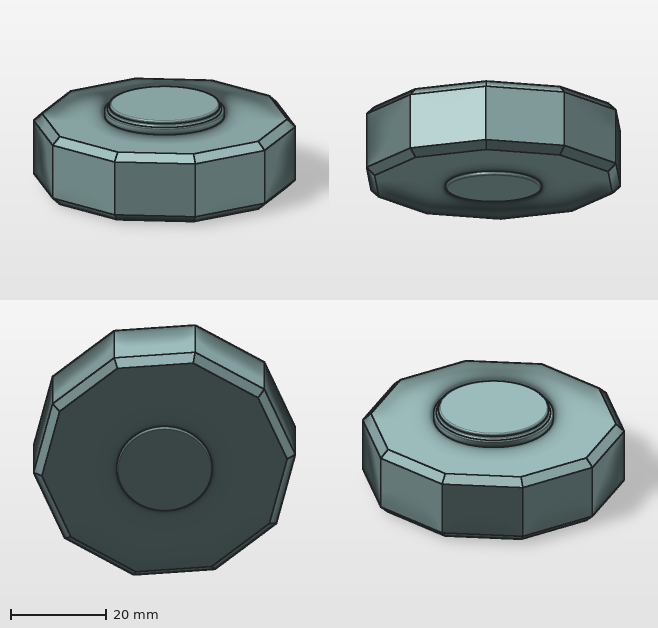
import cadquery as cq
import math

SIDES = 10
CORNER_TURN = 90
CORNER_DIAMETER = 55.2
HOUSING_HEIGHT = 15.0
HOUSING_CHAMFER = 1.65

COLLAR_RADIUS = 12.6
COLLAR_HEIGHT = 1.5
COLLAR_ROUNDING = 0.15

SEAT_RADIUS = 12.05
RIM_RADIUS = 11.6
RIM_ROUNDING = 0.35
RIM_BAND = 0.35
TOP_CAP_HEIGHT = 2.8

BOTTOM_CAP_RADIUS = 10.05
BOTTOM_CAP_ROUNDING = 0.3

OVERALL_HEIGHT = 18.7
BOTTOM_CAP_HEIGHT = OVERALL_HEIGHT - HOUSING_HEIGHT - TOP_CAP_HEIGHT


def make_housing():
    """Decagonal prism from Z = 0, chamfered all round its top and bottom."""
    return (
        cq.Workplane("XY")
        .polygon(SIDES, CORNER_DIAMETER)
        .extrude(HOUSING_HEIGHT)
        .rotate((0, 0, 0), (0, 0, 1), CORNER_TURN)
        .faces("<Z or >Z")
        .chamfer(HOUSING_CHAMFER)
    )


def make_collar():
    """Flat ring on top of the housing, rounded on its outer edges."""
    disc = (
        cq.Workplane("XY", origin=(0, 0, HOUSING_HEIGHT))
        .circle(COLLAR_RADIUS)
        .extrude(COLLAR_HEIGHT)
        .edges()
        .fillet(COLLAR_ROUNDING)
    )
    return disc.faces(">Z").workplane().circle(SEAT_RADIUS).cutThruAll()


def make_top_cap():
    """Turned cap that fills the collar and flares inward above it to a rounded rim."""
    base = HOUSING_HEIGHT
    collar_top = base + COLLAR_HEIGHT
    cap_top = base + TOP_CAP_HEIGHT
    rim_top = cap_top - RIM_ROUNDING
    rim_bottom = rim_top - RIM_BAND

    flare_width = SEAT_RADIUS - RIM_RADIUS
    flare_height = rim_bottom - collar_top
    flare_radius = (flare_width**2 + flare_height**2) / (2 * flare_height)
    middle_angle = math.radians(45)
    flare_middle = (
        SEAT_RADIUS - flare_radius * math.sin(middle_angle),
        collar_top + flare_radius * (1 - math.cos(middle_angle)),
    )
    return (
        cq.Workplane("XZ")
        .moveTo(0, base)
        .lineTo(SEAT_RADIUS, base)
        .lineTo(SEAT_RADIUS, collar_top)
        .threePointArc(flare_middle, (RIM_RADIUS, rim_bottom))
        .lineTo(RIM_RADIUS, rim_top)
        .radiusArc((RIM_RADIUS - RIM_ROUNDING, cap_top), -RIM_ROUNDING)
        .lineTo(0, cap_top)
        .close()
        .revolve(360, (0, 0), (0, 1))
    )


def make_bottom_cap():
    """Disc under the housing, rounded on both edges."""
    return (
        cq.Workplane("XY")
        .circle(BOTTOM_CAP_RADIUS)
        .extrude(-BOTTOM_CAP_HEIGHT)
        .faces("<Z or >Z")
        .edges()
        .fillet(BOTTOM_CAP_ROUNDING)
    )


housing = make_housing()
collar = make_collar()
top_cap = make_top_cap()
bottom_cap = make_bottom_cap()

result = cq.Compound.makeCompound([housing.val(), collar.val(), top_cap.val(), bottom_cap.val()])